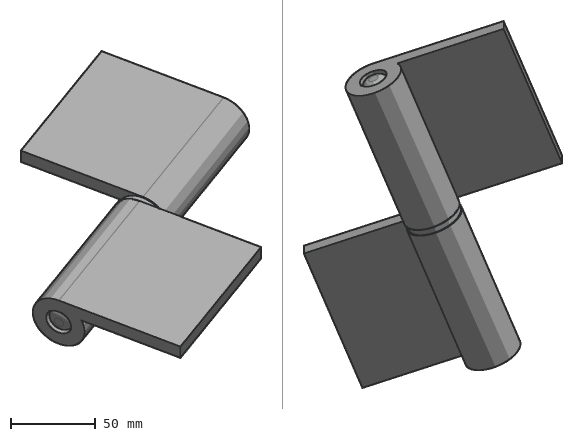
import cadquery as cq

hinge_length = 200.0
collar_width = 4.0
leaf_length = (hinge_length - collar_width) / 2

leaf_reach = 82.0
leaf_thickness = 9.2
barrel_diameter = 35.0
barrel_radius = barrel_diameter / 2

pin_radius = 8.5
pin_tip_radius = 3.0
pin_rounding = pin_radius - pin_tip_radius
collar_radius = 16.8


def cylinder_along_y(radius, length):
    """Cylinder on the hinge axis, centred on the origin."""
    return cq.Workplane("XZ", origin=(0, length / 2, 0)).circle(radius).extrude(length)


def make_leaf():
    """Front leaf: a barrel with a plate tangent to its top, reaching toward +X."""
    barrel = cylinder_along_y(barrel_radius, leaf_length)
    plate = cq.Workplane("XY").box(
        leaf_reach, leaf_length, leaf_thickness, centered=(False, True, False)
    ).translate((0, 0, barrel_radius - leaf_thickness))
    bore = cylinder_along_y(pin_radius, leaf_length)
    center_offset = (collar_width + leaf_length) / 2
    return barrel.union(plate).cut(bore).translate((0, -center_offset, 0))


def make_pin():
    """Full-length pin with rounded ends and a collar that spaces the leaves."""
    shank = cylinder_along_y(pin_radius, hinge_length)
    shank = shank.faces("<Y or >Y").edges().fillet(pin_rounding)
    collar = cylinder_along_y(collar_radius, collar_width)
    return shank.union(collar)


leaves = []
for turn in (0, 180):
    leaves.append(make_leaf().rotate((0, 0, 0), (0, 0, 1), turn))

pin = make_pin()

result = cq.Compound.makeCompound([*(leaf.val() for leaf in leaves), pin.val()])